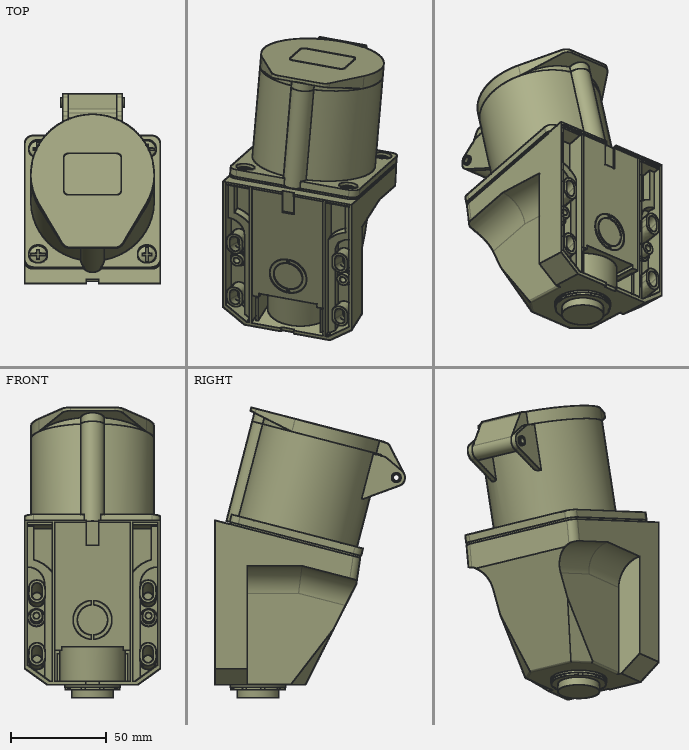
import cadquery as cq
import math


TILT = 14.5
TILT_RAD = math.radians(TILT)
FRAME_Y = 43.1
FRAME_Z = 80.2

WIDTH = 71.0
FLANGE_THICK = 4.0
CORNER_R = 4.5
BARREL_R = 32.25
BARREL_TOP = 49.8
COLUMN_R = 6.2
COLUMN_Y = -31.15
SCREW_POS = 28.4
SCREW_D = 9.75
SCREW_SINK = 2.2
DOME_RISE = 1.8
CROSS_LONG = 8.2
CROSS_SHORT = 5.0
CROSS_WIDTH = 1.2
CROSS_FLOOR = -1.5

LID_TOP = 56.75
LID_TIP_Y = -39.6
LID_TANGENT_Y = -16.0
LID_TIP_R = 5.0
TIP_UNDERSIDE = 54.9
FLAP_TOP = 56.5
LABEL_X = 30.2
LABEL_Y = 22.3
LABEL_R = 2.5
LABEL_DEPTH = 0.25

HINGE_Y = 42.97
HINGE_Z = 40.2
HINGE_R = 4.6
LUG_OUT = 15.6
LUG_IN = 12.6
LUG_TOP = 49.3
LUG_BOTTOM = 25.0
HINGE_SHOULDER_Y = 34.6
LUG_SHOULDER_R = 6.0
FLAP_SHOULDER_R = 3.0
LEAF_ROOT_Y = 25.8
LUG_ROOT_Y = 29.0
PIN_D = 5.0
PIN_BORE = 3.35
PIN_HALF = 16.6

LIP_HEIGHT = 1.1
LIP_INSET = 0.4
NOSE_Y = 76.0
NOSE_LOW_Y = 74.0
NOSE_LOW_Z = 52.9
FOOT_Y = 47.3
FRONT_CORNER_R = 4.0
BACK_DEPTH = 17.0
CORNER_CUT_X = 11.9
CORNER_CUT_Z = 8.6
NECK_HALF = 21.9
RECESS_TOP = 62.3
RECESS_BEND_Y = 45.4
RECESS_R = 14.3
FOOT_R = 1.0
BEVEL_SIDE_Y = 39.5
BEVEL_FRONT_X = 13.2
BEVEL_TOP_Y = 60.9
BEVEL_TOP_Z = 27.8

WALL = 1.5
FLOOR = 2.0
RIM_TOP = 84.9
PANEL_HALF = 19.7
PANEL_DEPTH = 1.2
SLOT_HALF = 3.2
SLOT_DEPTH = 2.35
SLOT_BOTTOM = 72.9
KNOCKOUT_Z = 34.0
KNOCKOUT_OUT_R = 10.15
KNOCKOUT_IN_R = 7.9
KNOCKOUT_BRIDGE = 1.1
KNOCKOUT_DEPTH = 0.6
NOTCH_HALF = 3.55

GLAND_Y = 22.5
ENTRY_Y = 21.5
ENTRY_R = 17.2
ENTRY_HALF = 16.0
ENTRY_TOP = 20.1
ENTRY_SIDE_TOP = 18.1
ENTRY_DEPTH = 39.0
RIB_X = 17.7
RIB_THICK = 1.2
RIB_TOP = 16.3
RIB_Y = 3.0

POCKET_IN = 21.1
POCKET_OUT = 34.0
POCKET_DEPTH = 4.2
DEEP_DEPTH = 9.0
LEDGE_DEPTH = 1.1
ROOF_THICK = 2.0
CHANNEL_X = 25.0
CHANNEL_TOP = 61.6
CHANNEL_R = 8.9
UPPER_X = 30.6
UPPER_R = 18.1

POST_X = 29.0
POST_WIDTH = 8.5
POST_LENGTH = 11.9
POST_ZS = (16.1, 48.9)
POST_SLOPE = 13.0
HOLE_WIDTH = 5.3
HOLE_LENGTH = 8.9
HOLE_SLOPE = 21.0
HOLE_DEPTH = 13.0
BOSS_X = 29.3
BOSS_Z = 36.2
BOSS_FACE = 4.0
BOSS_D = 6.55
BOSS_BASE_D = 9.0
BOSS_BASE_THICK = 1.0
BOSS_HOLE_D = 3.35
BOSS_HOLE_DEPTH = 8.0

NUT_R = 14.6
NUT_RING = 1.2
NUT_HEIGHT = 2.5
NUT_TEETH = 9
NUT_NOTCH = 2.2
NUT_NOTCH_DEPTH = 0.6
NUT_STEP = 0.25
TUBE_D = 21.75
TUBE_LENGTH = 6.75

BIG = 200.0


def place(body):
    """Move an upright socket part into the tilted frame on the housing."""
    return body.rotate((0, 0, 0), (1, 0, 0), -TILT).translate((0, FRAME_Y, FRAME_Z))


def box(x0, x1, y0, y1, z0, z1):
    return cq.Workplane("XY").box(x1 - x0, y1 - y0, z1 - z0, centered=False).translate((x0, y0, z0))


def cylinder(radius, z0, z1, y=0.0):
    return cq.Workplane("XY").workplane(offset=z0).center(0, y).circle(radius).extrude(z1 - z0)


def back_shape(points, y0, y1):
    """Extrude an (x, z) outline from y0 to y1."""
    return cq.Workplane("XZ", origin=(0, y0, 0)).polyline(points).close().extrude(y0 - y1)


def side_shape(points, x0, x1):
    """Extrude a (y, z) outline from x0 to x1."""
    return cq.Workplane("YZ", origin=(x0, 0, 0)).polyline(points).close().extrude(x1 - x0)


def mirrored(body):
    return body.union(body.mirror("YZ"))


def tangent_point(y, z, side):
    """Point where a line from (y, z) touches the hinge circle; side is +1 or -1."""
    dy = y - HINGE_Y
    dz = z - HINGE_Z
    angle = math.atan2(dz, dy) + side * math.acos(HINGE_R / math.hypot(dy, dz))
    return HINGE_Y + HINGE_R * math.cos(angle), HINGE_Z + HINGE_R * math.sin(angle)


def hinge_leaf(top, bottom_y, bottom, x0, x1, shoulder_r):
    """Plate from the body out to the round hinge eye, with a rounded shoulder on top."""
    shoulder = (HINGE_SHOULDER_Y, top)
    upper = tangent_point(*shoulder, -1)
    lower = tangent_point(bottom_y, bottom, 1)
    leaf = (
        cq.Workplane("YZ", origin=(x0, 0, 0))
        .moveTo(LEAF_ROOT_Y, bottom)
        .lineTo(LEAF_ROOT_Y, top)
        .lineTo(*shoulder)
        .lineTo(*upper)
        .lineTo(HINGE_Y, HINGE_Z)
        .lineTo(*lower)
        .lineTo(bottom_y, bottom)
        .close()
        .extrude(x1 - x0)
    )
    at_shoulder = cq.selectors.BoxSelector(
        (x0 - 1, shoulder[0] - 0.1, top - 0.1), (x1 + 1, shoulder[0] + 0.1, top + 0.1)
    )
    leaf = leaf.edges("|X").edges(at_shoulder).fillet(shoulder_r)
    eye = cq.Workplane("YZ", origin=(x0, HINGE_Y, HINGE_Z)).circle(HINGE_R).extrude(x1 - x0)
    return leaf.union(eye)


def hinge_bar(diameter, half_length):
    bar = cq.Workplane("YZ", origin=(-half_length, HINGE_Y, HINGE_Z)).circle(diameter / 2)
    return bar.extrude(2 * half_length)


def screw_head(x, y, turned):
    dome_r = ((SCREW_D / 2) ** 2 + DOME_RISE**2) / (2 * DOME_RISE)
    ball_z = DOME_RISE - SCREW_SINK - dome_r
    head = cq.Workplane("XY").sphere(dome_r).translate((0, 0, ball_z))
    head = head.intersect(cylinder(SCREW_D / 2, -SCREW_SINK, 0))
    for length, width in ((CROSS_LONG, CROSS_WIDTH), (CROSS_WIDTH, CROSS_SHORT)):
        head = head.cut(box(-length / 2, length / 2, -width / 2, width / 2, CROSS_FLOOR, 0))
    if turned:
        head = head.rotate((0, 0, 0), (0, 0, 1), 90)
    return head.translate((x, y, 0))


def make_socket():
    flange = cq.Workplane("XY").rect(WIDTH, WIDTH).extrude(-FLANGE_THICK).edges("|Z").fillet(CORNER_R)
    body = flange.union(cylinder(BARREL_R, -FLANGE_THICK, BARREL_TOP))
    body = body.union(cylinder(COLUMN_R, -FLANGE_THICK, BARREL_TOP, COLUMN_Y))
    lug = hinge_leaf(LUG_TOP, LUG_ROOT_Y, LUG_BOTTOM, LUG_IN, LUG_OUT, LUG_SHOULDER_R)
    body = body.union(mirrored(lug))
    body = body.union(hinge_bar(PIN_D, PIN_HALF)).cut(hinge_bar(PIN_BORE, PIN_HALF))
    for x in (-SCREW_POS, SCREW_POS):
        for y in (-SCREW_POS, SCREW_POS):
            sink = cylinder(SCREW_D / 2, -SCREW_SINK, 0).translate((x, y, 0))
            body = body.cut(sink.cut(cylinder(BARREL_R, -FLANGE_THICK, 0)))
            body = body.union(screw_head(x, y, turned=x * y < 0))
    return place(body)


def make_lid():
    tangent_x = math.sqrt(BARREL_R**2 - LID_TANGENT_Y**2)
    tip_half = tangent_x + (LID_TIP_Y - LID_TANGENT_Y) * -LID_TANGENT_Y / tangent_x
    plate = (
        cq.Workplane("XY", origin=(0, 0, BARREL_TOP))
        .moveTo(tangent_x, LID_TANGENT_Y)
        .threePointArc((0, BARREL_R), (-tangent_x, LID_TANGENT_Y))
        .lineTo(-tip_half, LID_TIP_Y)
        .lineTo(tip_half, LID_TIP_Y)
        .close()
        .extrude(LID_TOP - BARREL_TOP)
    )
    plate = plate.edges("|Z and <Y").fillet(LID_TIP_R)
    bevel = side_shape(
        [(LID_TANGENT_Y, BARREL_TOP), (LID_TIP_Y, TIP_UNDERSIDE), (LID_TIP_Y - 1, BARREL_TOP)],
        -WIDTH / 2, WIDTH / 2,
    )
    bevel = bevel.cut(cylinder(BARREL_R, BARREL_TOP, LID_TOP))
    bevel = bevel.cut(cylinder(COLUMN_R, BARREL_TOP, LID_TOP, COLUMN_Y))
    plate = plate.cut(bevel)
    label = cq.Workplane("XY", origin=(0, 0, LID_TOP)).rect(LABEL_X, LABEL_Y).extrude(-LABEL_DEPTH)
    plate = plate.cut(label.edges("|Z").fillet(LABEL_R))
    flap = hinge_leaf(FLAP_TOP, BARREL_R, BARREL_TOP, -LUG_IN, LUG_IN, FLAP_SHOULDER_R)
    lid = plate.union(flap).cut(hinge_bar(PIN_D, PIN_HALF))
    return place(lid)


def roof_z(y, drop=0.0):
    """Height at y of the tilted plane lying `drop` below the housing's sloping top."""
    depth = FLANGE_THICK + LIP_HEIGHT + drop
    return FRAME_Z - depth / math.cos(TILT_RAD) - (y - FRAME_Y) * math.tan(TILT_RAD)


def housing_block():
    profile = [
        (0, 0), (0, roof_z(0)), (NOSE_Y, roof_z(NOSE_Y)), (NOSE_LOW_Y, NOSE_LOW_Z), (FOOT_Y, 0),
    ]
    block = side_shape(profile, -WIDTH / 2, WIDTH / 2)
    nose = cq.selectors.BoxSelector(
        (-WIDTH, NOSE_LOW_Y - 1, NOSE_LOW_Z + 1), (WIDTH, NOSE_Y + 1, roof_z(NOSE_Y) - 1)
    )
    block = block.edges(nose).fillet(FRONT_CORNER_R)
    lip_size = WIDTH - 2 * LIP_INSET
    lip = cq.Workplane("XY", origin=(0, 0, -FLANGE_THICK)).rect(lip_size, lip_size)
    lip = lip.extrude(-LIP_HEIGHT - LIP_INSET).edges("|Z").fillet(CORNER_R - LIP_INSET)
    return block.union(place(lip))


def side_recess():
    """Space beside the narrow lower body, rounded where it meets the upper box."""
    end_z = RECESS_TOP - (BIG - RECESS_BEND_Y) * math.tan(TILT_RAD)
    recess = side_shape(
        [
            (BACK_DEPTH, -1), (BACK_DEPTH, RECESS_TOP), (RECESS_BEND_Y, RECESS_TOP),
            (BIG, end_z), (BIG, end_z - BIG), (BACK_DEPTH, end_z - BIG),
        ],
        NECK_HALF, WIDTH,
    )
    ridge = cq.selectors.BoxSelector((NECK_HALF - 1, BACK_DEPTH, 0), (NECK_HALF + 1, BIG, RECESS_TOP + 1))
    return recess.edges(ridge).edges("not |Z").fillet(RECESS_R)


def frame_corner():
    half = WIDTH / 2
    return back_shape(
        [(half - CORNER_CUT_X, 0), (half + 1, 0), (half + 1, CORNER_CUT_Z), (half, CORNER_CUT_Z)],
        0, BACK_DEPTH,
    )


def front_bevel():
    """Flat-faced block that cuts the lower front corner of the narrow body."""
    side = cq.Vector(NECK_HALF, BEVEL_SIDE_Y, 0)
    front = cq.Vector(BEVEL_FRONT_X, FOOT_Y, 0)
    top = cq.Vector(NECK_HALF, BEVEL_TOP_Y, BEVEL_TOP_Z)
    normal = (front - side).cross(top - side)
    if normal.y < 0:
        normal = normal * -1
    plane = cq.Plane(origin=side.toTuple(), xDir=(front - side).toTuple(), normal=normal.toTuple())
    reach = 2 * BEVEL_TOP_Z
    return cq.Workplane(plane).rect(reach * 2, reach * 2).extrude(reach)


def centre_openings():
    panel = box(-PANEL_HALF, PANEL_HALF, 0, PANEL_DEPTH, FLOOR, RIM_TOP)
    slot = box(-SLOT_HALF, SLOT_HALF, 0, SLOT_DEPTH, SLOT_BOTTOM, roof_z(0) + 1)
    notch = box(-NOTCH_HALF, NOTCH_HALF, 0, PANEL_DEPTH, 0, FLOOR)
    ring = (
        cq.Workplane("XZ", origin=(0, PANEL_DEPTH, KNOCKOUT_Z))
        .circle(KNOCKOUT_OUT_R).circle(KNOCKOUT_IN_R).extrude(-KNOCKOUT_DEPTH)
    )
    bridge = KNOCKOUT_BRIDGE / 2
    ring = ring.cut(box(-bridge, bridge, 0, SLOT_DEPTH, 0, RIM_TOP))
    entry = box(-PANEL_HALF, PANEL_HALF, 0, ENTRY_DEPTH, FLOOR, ENTRY_SIDE_TOP)
    entry = entry.union(box(-ENTRY_HALF, ENTRY_HALF, 0, ENTRY_DEPTH, FLOOR, ENTRY_TOP))
    entry = entry.cut(cylinder(ENTRY_R, 0, ENTRY_TOP, ENTRY_Y))
    rib = box(RIB_X - RIB_THICK / 2, RIB_X + RIB_THICK / 2, RIB_Y, ENTRY_DEPTH, FLOOR, RIB_TOP)
    entry = entry.cut(mirrored(rib))
    return panel.union(slot).union(notch).union(ring).union(entry)


def slanted(width, length, x, z, depth, slope):
    """Upright obround running from y = 0 inwards and down at the given slope."""
    drop = depth * math.tan(math.radians(slope))
    path = cq.Workplane("YZ").moveTo(0, 0).lineTo(depth, -drop)
    shape = cq.Workplane("XZ").slot2D(length, width, 90).sweep(path)
    return shape.translate((x, 0, z))


def slanted_round(diameter, y0, y1):
    """Round bar on the screw boss axis between two depths."""
    fall = math.tan(math.radians(POST_SLOPE))
    path = cq.Workplane("YZ").moveTo(y0, 0).lineTo(y1, -(y1 - y0) * fall)
    bar = cq.Workplane("XZ", origin=(0, y0, 0)).circle(diameter / 2).sweep(path)
    return bar.translate((BOSS_X, 0, BOSS_Z - (y0 - BOSS_FACE) * fall))


def side_pocket():
    """Stepped pocket on the +X side, with its posts and screw boss left standing."""
    chamfer_slope = CORNER_CUT_Z / CORNER_CUT_X
    half = WIDTH / 2
    corner_z = CORNER_CUT_Z + chamfer_slope * (half - POCKET_OUT) + WALL / 2
    corner_x = POCKET_OUT - (corner_z - FLOOR) / chamfer_slope
    outline = [
        (POCKET_IN, FLOOR), (corner_x, FLOOR), (POCKET_OUT, corner_z),
        (POCKET_OUT, RIM_TOP), (POCKET_IN, RIM_TOP),
    ]
    ledge = back_shape(outline, 0, LEDGE_DEPTH)
    under_roof = side_shape(
        [
            (0, 0), (DEEP_DEPTH, 0),
            (DEEP_DEPTH, roof_z(DEEP_DEPTH, ROOF_THICK)), (0, roof_z(0, ROOF_THICK)),
        ],
        POCKET_IN, POCKET_OUT,
    )
    shallow = back_shape(outline, 0, POCKET_DEPTH)
    channel = box(CHANNEL_X, POCKET_OUT, 0, DEEP_DEPTH, 0, CHANNEL_TOP)
    channel = channel.edges("|Y and <X and >Z").fillet(CHANNEL_R)
    upper = box(POCKET_IN, UPPER_X, 0, DEEP_DEPTH, RECESS_TOP - RECESS_R, RIM_TOP)
    arch = cq.Workplane("XZ", origin=(half, 0, RECESS_TOP - RECESS_R)).circle(UPPER_R).extrude(-DEEP_DEPTH)
    deep = channel.union(upper.cut(arch)).intersect(back_shape(outline, 0, DEEP_DEPTH))
    pocket = shallow.union(deep).intersect(under_roof).union(ledge)

    for z in POST_ZS:
        pocket = pocket.cut(slanted(POST_WIDTH, POST_LENGTH, POST_X, z, DEEP_DEPTH, POST_SLOPE))
    pocket = pocket.cut(slanted_round(BOSS_D, BOSS_FACE, DEEP_DEPTH))
    pocket = pocket.cut(slanted_round(BOSS_BASE_D, DEEP_DEPTH - BOSS_BASE_THICK, DEEP_DEPTH))
    for z in POST_ZS:
        pocket = pocket.union(slanted(HOLE_WIDTH, HOLE_LENGTH, POST_X, z, HOLE_DEPTH, HOLE_SLOPE))
    boss_hole = cq.Workplane("XZ", origin=(BOSS_X, BOSS_FACE, BOSS_Z)).circle(BOSS_HOLE_D / 2)
    return pocket.union(boss_hole.extrude(-BOSS_HOLE_DEPTH))


def make_housing():
    housing = housing_block()
    for cutter in (side_recess(), frame_corner(), front_bevel()):
        housing = housing.cut(mirrored(cutter))
    foot = cq.selectors.BoxSelector((-WIDTH, BACK_DEPTH + 1, -1), (WIDTH, NOSE_Y, 1))
    housing = housing.edges(foot).fillet(FOOT_R)
    housing = housing.cut(mirrored(side_pocket())).cut(centre_openings())
    column = cylinder(COLUMN_R, -FLANGE_THICK, BARREL_TOP, COLUMN_Y)
    return housing.cut(place(column))


def make_gland():
    gland = cylinder(NUT_R - NUT_STEP, -NUT_HEIGHT, 0)
    for i in range(NUT_TEETH):
        half = NUT_NOTCH / 2
        notch = box(-half, half, NUT_R - NUT_NOTCH_DEPTH, NUT_R + 1, -NUT_HEIGHT, -NUT_RING)
        gland = gland.cut(notch.rotate((0, 0, 0), (0, 0, 1), i * 360 / NUT_TEETH))
    gland = gland.union(cylinder(NUT_R, -NUT_RING, 0))
    gland = gland.union(cylinder(TUBE_D / 2, -TUBE_LENGTH, 0))
    return gland.translate((0, GLAND_Y, 0))


housing = make_housing()
socket = make_socket()
lid = make_lid()
gland = make_gland()

result = cq.Compound.makeCompound([housing.val(), socket.val(), lid.val(), gland.val()])